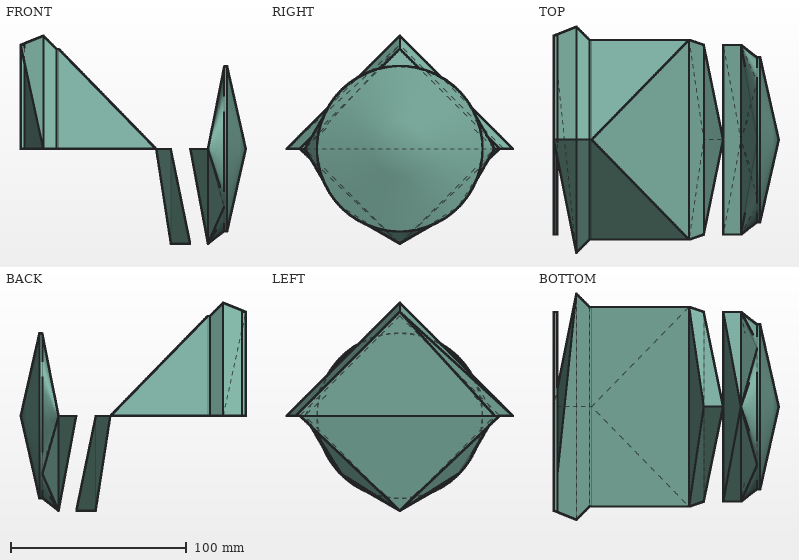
import cadquery as cq
import math

back_x = 0.0
plate_front_x = 2.0
flange_crest_x = 12.9
flange_front_x = 20.3
wedge_start_x = 21.6
wedge_end_x = 77.0
keel_edge_x = 85.4
keel_tip_x = 96.4
block_front_x = 106.5
lens_back_x = 115.7
lens_rim_x = 117.4
lens_apex_x = 128.0

flange_back_half = 59.1
flange_crest_half = 64.3
wedge_half = 56.8
lower_half = 54.0
lens_back_radius = 46.8
lens_rim_radius = 47.2


def polyhedron(faces):
    """Closed solid bounded by flat faces, each given as a list of corners."""
    flat_faces = []
    for corners in faces:
        outline = cq.Wire.makePolygon([cq.Vector(*corner) for corner in corners], close=True)
        flat_faces.append(cq.Face.makeFromWires(outline))
    return cq.Solid.makeSolid(cq.Shell.makeShell(flat_faces))


def tetrahedron(a, b, c, d):
    return polyhedron([[a, b, c], [a, b, d], [a, c, d], [b, c, d]])


def roof_section(x, half):
    """Left, top and right corners of the right-angled roof outline at one station."""
    return (x, half, 0), (x, 0, half), (x, -half, 0)


def roof_segment(start_x, start_half, end_x, end_half):
    """Straight transition between two roof outlines, with its flat side at Z = 0."""
    left_1, top_1, right_1 = roof_section(start_x, start_half)
    left_2, top_2, right_2 = roof_section(end_x, end_half)
    return polyhedron([
        [left_1, top_1, right_1],
        [left_2, top_2, right_2],
        [left_1, top_1, top_2, left_2],
        [top_1, right_1, right_2, top_2],
        [right_1, left_1, left_2, right_2],
    ])


def make_plate():
    """Thin triangular plate closing the back of the flanged wedge."""
    return (
        cq.Workplane("YZ", origin=(back_x, 0, 0))
        .polyline([(flange_back_half, 0), (0, flange_back_half), (-lower_half, 0)])
        .close()
        .extrude(plate_front_x - back_x)
        .val()
    )


def make_flanged_wedge(plate):
    """Flange with a slanted back face and a wedge running down to Z = 0 in front of it."""
    back_left, back_top, _ = roof_section(back_x, flange_back_half)
    crest_left, crest_top, crest_right = roof_section(flange_crest_x, flange_crest_half)
    flange_back = polyhedron([
        [back_left, back_top, crest_right],
        [back_left, back_top, crest_top, crest_left],
        [back_top, crest_right, crest_top],
        [back_left, crest_left, crest_right],
        [crest_left, crest_top, crest_right],
    ])
    flange_front = roof_segment(flange_crest_x, flange_crest_half, flange_front_x, wedge_half)
    neck = roof_segment(flange_front_x, wedge_half, wedge_start_x, wedge_half)
    left, top, right = roof_section(wedge_start_x, wedge_half)
    end_left, _, end_right = roof_section(wedge_end_x, wedge_half)
    wedge = polyhedron([
        [left, top, right],
        [top, left, end_left],
        [top, right, end_right],
        [top, end_left, end_right],
        [left, right, end_right, end_left],
    ])
    return flange_back.fuse(flange_front, neck, wedge).cut(plate)


def make_keel():
    """Faceted body hanging below Z = 0 at the end of the wedge."""
    back_left, back_right = (wedge_end_x, wedge_half, 0), (wedge_end_x, -wedge_half, 0)
    left, right = (keel_edge_x, lower_half, 0), (keel_edge_x, -lower_half, 0)
    bottom, tip = (keel_edge_x, 0, -lower_half), (keel_tip_x, 0, -lower_half)
    back = polyhedron([
        [back_left, back_right, right, left],
        [back_left, back_right, bottom],
        [back_left, left, bottom],
        [back_right, right, bottom],
        [left, right, bottom],
    ])
    return back.fuse(tetrahedron(left, right, bottom, tip))


def oblique_cone(apex, start_angle, end_angle):
    """Cone from an apex to a sector of the lens back circle; angles run from +Y towards +Z."""
    def rim(angle):
        turn = math.radians(angle)
        return cq.Vector(lens_back_x, lens_back_radius * math.cos(turn), lens_back_radius * math.sin(turn))

    centre = cq.Vector(lens_back_x, 0, 0)
    start, middle, end = rim(start_angle), rim((start_angle + end_angle) / 2), rim(end_angle)
    sector = cq.Wire.assembleEdges([
        cq.Edge.makeLine(centre, start),
        cq.Edge.makeThreePointArc(start, middle, end),
        cq.Edge.makeLine(end, centre),
    ])
    return cq.occ_impl.shapes.loft(cq.Vertex.makeVertex(*apex), cq.Face.makeFromWires(sector), ruled=True)


def make_lens_block():
    """Wedge-shaped block blending into a round lens with a conical front."""
    left, right = (block_front_x, lower_half, 0), (block_front_x, -lower_half, 0)
    bottom = (block_front_x, 0, -lower_half)
    block = polyhedron([
        [(keel_tip_x, lower_half, 0), (keel_tip_x, -lower_half, 0), right, left],
        [(keel_tip_x, lower_half, 0), (keel_tip_x, -lower_half, 0), bottom],
        [(keel_tip_x, lower_half, 0), left, bottom],
        [(keel_tip_x, -lower_half, 0), right, bottom],
        [left, right, bottom],
    ])
    centre = (lens_back_x, 0, 0)
    rim_top = (lens_back_x, 0, lens_back_radius)
    diagonal = lens_back_radius * math.sqrt(0.5)
    rim_left, rim_right = (lens_back_x, diagonal, -diagonal), (lens_back_x, -diagonal, -diagonal)
    blend = [
        oblique_cone(left, -45, 90),
        oblique_cone(right, 90, 225),
        oblique_cone(bottom, 225, 315),
        tetrahedron(left, right, rim_top, centre),
        tetrahedron(left, bottom, rim_left, centre),
        tetrahedron(right, bottom, rim_right, centre),
        tetrahedron(left, right, bottom, centre),
    ]
    lens = (
        cq.Workplane("XY")
        .polyline([
            (lens_back_x, 0),
            (lens_back_x, lens_back_radius),
            (lens_rim_x, lens_rim_radius),
            (lens_apex_x, 0),
        ])
        .close()
        .revolve(360, (0, 0, 0), (1, 0, 0))
        .val()
    )
    return block.fuse(*blend, lens)


plate = make_plate()
flanged_wedge = make_flanged_wedge(plate)
keel = make_keel()
lens_block = make_lens_block()

bodies = [plate, flanged_wedge, keel, lens_block]
result = cq.Compound.makeCompound([solid for body in bodies for solid in body.Solids()])